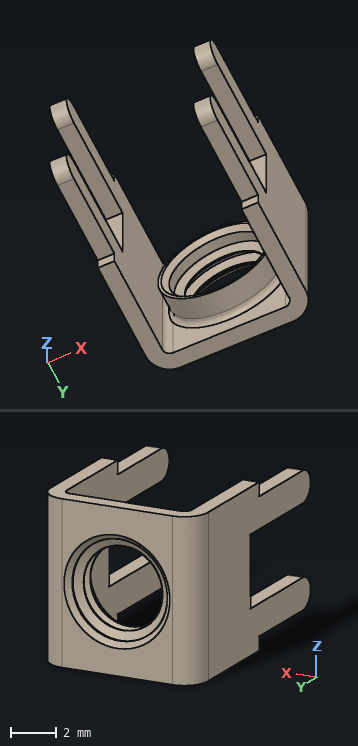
import cadquery as cq
import math

WIDTH = 7.87
HEIGHT = 7.87
LENGTH = 11.18
THICKNESS = 0.83
INNER_BEND = 0.36
OUTER_BEND = INNER_BEND + THICKNESS

SHOULDER_LENGTH = 6.17
SLOT_DEPTH = 5.32
LEG_WIDTH = 1.54
LEG_SPACING = 4.99

COLLAR_LENGTH = 2.3
COLLAR_RADIUS = 2.8
FLARE_RADIUS = 3.02
FLARE_LENGTH = 0.36
RIM_RADIUS = 2.64

ROOT_RADIUS = 2.37
CREST_RADIUS = 1.97
FLANK_ANGLE = 30.0
FIRST_CREST = 1.03
PITCH = 0.64
RIDGE_COUNT = 2
CREST_FLAT = 0.06

BACK = LENGTH / 2
FRONT = -LENGTH / 2


def make_channel():
    """U-shaped sheet with rounded bends, open toward -Y."""
    outer = (
        cq.Workplane("XY")
        .box(WIDTH, LENGTH, HEIGHT)
        .edges("|Z and >Y")
        .fillet(OUTER_BEND)
    )
    inner = (
        cq.Workplane("XY")
        .box(WIDTH - 2 * THICKNESS, LENGTH, HEIGHT)
        .translate((0, -THICKNESS, 0))
        .edges("|Z and >Y")
        .fillet(INNER_BEND)
    )
    return outer.cut(inner)


def make_side_profile():
    """Side outline with two round-ended legs, extruded across the width."""
    shoulder_y = BACK - SHOULDER_LENGTH
    slot_y = BACK - SLOT_DEPTH
    arc_y = FRONT + LEG_WIDTH / 2
    leg_outer_z = (LEG_SPACING + LEG_WIDTH) / 2
    leg_inner_z = (LEG_SPACING - LEG_WIDTH) / 2
    leg_middle_z = LEG_SPACING / 2
    top_z = HEIGHT / 2
    return (
        cq.Workplane("YZ")
        .moveTo(BACK, top_z)
        .lineTo(shoulder_y, top_z)
        .lineTo(shoulder_y, leg_outer_z)
        .lineTo(arc_y, leg_outer_z)
        .threePointArc((FRONT, leg_middle_z), (arc_y, leg_inner_z))
        .lineTo(slot_y, leg_inner_z)
        .lineTo(slot_y, -leg_inner_z)
        .lineTo(arc_y, -leg_inner_z)
        .threePointArc((FRONT, -leg_middle_z), (arc_y, -leg_outer_z))
        .lineTo(shoulder_y, -leg_outer_z)
        .lineTo(shoulder_y, -top_z)
        .lineTo(BACK, -top_z)
        .close()
        .extrude(WIDTH / 2, both=True)
    )


def revolve_about_y(profile):
    return profile.close().revolve(360, (0, 0, 0), (0, 1, 0))


def make_collar():
    """Solid collar whose root flares tangentially outward to the plate."""
    plate_y = BACK - THICKNESS
    flare_y = plate_y - FLARE_LENGTH
    rim_y = BACK - COLLAR_LENGTH
    embedded_y = BACK - THICKNESS / 2
    return revolve_about_y(
        cq.Workplane("XY")
        .moveTo(0, rim_y)
        .lineTo(COLLAR_RADIUS, rim_y)
        .lineTo(COLLAR_RADIUS, flare_y)
        .tangentArcPoint((FLARE_RADIUS, plate_y), relative=False)
        .lineTo(FLARE_RADIUS, embedded_y)
        .lineTo(0, embedded_y)
    )


def make_bore():
    """Through hole with a 45 degree mouth at each end and V-shaped thread ridges left standing."""
    rim_y = BACK - COLLAR_LENGTH
    mouth_depth = RIM_RADIUS - ROOT_RADIUS
    flank_length = (ROOT_RADIUS - CREST_RADIUS) * math.tan(math.radians(FLANK_ANGLE))
    profile = (
        cq.Workplane("XY")
        .moveTo(0, rim_y)
        .lineTo(RIM_RADIUS, rim_y)
        .lineTo(ROOT_RADIUS, rim_y + mouth_depth)
    )
    for ridge in range(RIDGE_COUNT):
        crest_start_y = rim_y + FIRST_CREST + ridge * PITCH
        crest_end_y = crest_start_y + CREST_FLAT
        profile = (
            profile.lineTo(ROOT_RADIUS, crest_start_y - flank_length)
            .lineTo(CREST_RADIUS, crest_start_y)
            .lineTo(CREST_RADIUS, crest_end_y)
            .lineTo(ROOT_RADIUS, crest_end_y + flank_length)
        )
    profile = (
        profile.lineTo(ROOT_RADIUS, BACK - mouth_depth)
        .lineTo(RIM_RADIUS, BACK)
        .lineTo(0, BACK)
    )
    return revolve_about_y(profile)


channel = make_channel().intersect(make_side_profile())
result = channel.union(make_collar()).cut(make_bore())